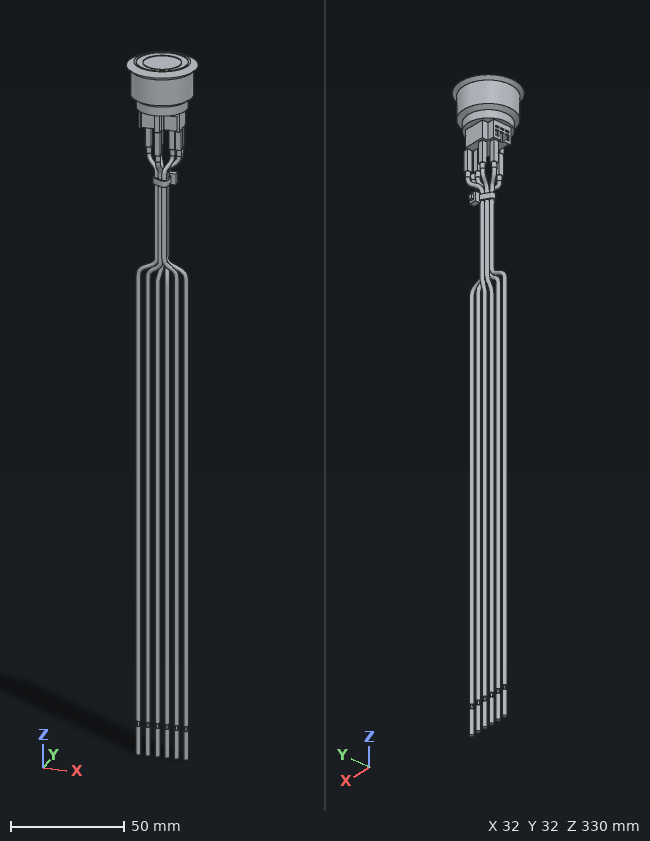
import cadquery as cq


TOTAL_HEIGHT = 330.0
RIM_DIAMETER = 32.0
RIM_CROWN_DIAMETER = 25.0
RIM_EDGE_Z = 328.5
BODY_DIAMETER = 28.0
BODY_TOP_Z = 326.8
BODY_BOTTOM_Z = 314.5
COLLAR_DIAMETER = 23.0
COLLAR_TOP_Z = 313.0
COLLAR_BOTTOM_Z = 308.5
BUTTON_DIAMETER = 23.0
BUTTON_RECESS = 0.3
LENS_DIAMETER = 17.2
LENS_RECESS = 0.5

BLOCK_BOTTOM_Z = 299.5
BLOCK_HEIGHT = COLLAR_BOTTOM_Z - BLOCK_BOTTOM_Z
BLOCK_LENGTH = 18.8
BLOCK_WIDTH = 10.2
KEY_SPAN = 17.0
FRONT_KEY_WIDTH = 2.3
REAR_KEY_WIDTH = 11.2
PANEL_WIDTH = 6.3
PANEL_HEIGHT = 7.3
PANEL_OFFSET = 5.3
PANEL_DEPTH = 1.0
WINDOW_WIDTH = 1.5
WINDOW_HEIGHT = 3.0
WINDOW_OFFSET = 3.0
WINDOW_DEPTH = 1.0
WINDOW_FLOOR = 1.5
SLIT_HEIGHT = 0.5
SLIT_FLOOR = 6.0

WIRE_DIAMETER = 2.2
SLEEVE_DIAMETER = 2.4
TERMINAL_SIZE = 2.5
TERMINAL_HEIGHT = 11.2
SLEEVE_BOTTOM_Z = 285.2
BUNDLE_TOP_Z = 276.5
WIRE_PITCH_IN_BUNDLE = 2.3
BUNDLE_X = -0.45
FAN_GAP = 2.18
FAN_PITCH = WIRE_DIAMETER + FAN_GAP
CORE_DIAMETER = 1.1
TIP_LENGTH = 13.5
CORE_GAP = 2.3

TIE_THICKNESS = 0.5
TIE_BOTTOM_Z = 272.0
TIE_HEIGHT = 3.0
TIE_HEAD_SIZE = (4.0, 3.0, 5.3)
TIE_HEAD_CENTER = (3.3, 5.0, 273.3)
TIE_TAIL_SIZE = (1.5, 3.0, 2.5)
TIE_TAIL_CENTER = (3.3, 6.3, 273.3)

row_step = WIRE_PITCH_IN_BUNDLE * 3 ** 0.5 / 2
left_x = BUNDLE_X - row_step
right_x = BUNDLE_X + row_step
half_pitch = WIRE_PITCH_IN_BUNDLE / 2
WIRES = [
    ((-7.0, 2.5), (left_x, 0), 237.0, 227.5),
    ((0, -6.5), (BUNDLE_X, -half_pitch), 236.0, 226.8),
    ((-3.0, 6.0), (BUNDLE_X, half_pitch), 234.5, 223.5),
    ((7.0, 6.0), (right_x, WIRE_PITCH_IN_BUNDLE), 234.5, 224.5),
    ((4.0, 2.5), (right_x, -WIRE_PITCH_IN_BUNDLE), 238.3, 227.8),
    ((7.0, 2.5), (right_x, 0), 238.3, 227.8),
]


def rod(x, y, bottom_z, top_z, diameter):
    return cq.Workplane("XY", origin=(x, y, bottom_z)).circle(diameter / 2).extrude(top_z - bottom_z)


def block(size, center):
    return cq.Workplane("XY").box(*size).translate(center)


def bend(start, end):
    """Wire section from start down to end, vertical at both ends."""
    down = cq.Vector(0, 0, -1)
    path = cq.Edge.makeSpline([cq.Vector(*start), cq.Vector(*end)], [down, down])
    return (
        cq.Workplane("XY", origin=start)
        .circle(WIRE_DIAMETER / 2)
        .sweep(cq.Workplane("XY").add(cq.Wire.assembleEdges([path])))
    )


def make_head():
    profile = [
        (0, COLLAR_BOTTOM_Z),
        (COLLAR_DIAMETER / 2, COLLAR_BOTTOM_Z),
        (COLLAR_DIAMETER / 2, COLLAR_TOP_Z),
        (BODY_DIAMETER / 2, BODY_BOTTOM_Z),
        (BODY_DIAMETER / 2, BODY_TOP_Z),
        (RIM_DIAMETER / 2, RIM_EDGE_Z),
        (RIM_CROWN_DIAMETER / 2, TOTAL_HEIGHT),
        (0, TOTAL_HEIGHT),
    ]
    head = cq.Workplane("XZ").polyline(profile).close().revolve(360, (0, 0), (0, 1))
    top = cq.Workplane("XY", origin=(0, 0, TOTAL_HEIGHT))
    button = top.circle(BUTTON_DIAMETER / 2).extrude(-BUTTON_RECESS)
    lens = top.circle(LENS_DIAMETER / 2).extrude(-LENS_RECESS)
    return head.cut(button).cut(lens)


def make_switch_block():
    mid_z = BLOCK_BOTTOM_Z + BLOCK_HEIGHT / 2
    key_length = KEY_SPAN / 2
    body = block((BLOCK_LENGTH, BLOCK_WIDTH, BLOCK_HEIGHT), (0, 0, mid_z))
    body = body.union(block((FRONT_KEY_WIDTH, key_length, BLOCK_HEIGHT), (0, -key_length / 2, mid_z)))
    body = body.union(block((REAR_KEY_WIDTH, key_length, BLOCK_HEIGHT), (0, key_length / 2, mid_z)))
    panel_z = BLOCK_BOTTOM_Z + PANEL_HEIGHT / 2
    for x in (-PANEL_OFFSET, PANEL_OFFSET):
        panel = block((PANEL_WIDTH, 2 * PANEL_DEPTH, PANEL_HEIGHT), (x, -BLOCK_WIDTH / 2, panel_z))
        body = body.cut(panel)
    side_x = -BLOCK_LENGTH / 2
    window_z = BLOCK_BOTTOM_Z + WINDOW_FLOOR + WINDOW_HEIGHT / 2
    slit_z = BLOCK_BOTTOM_Z + SLIT_FLOOR + SLIT_HEIGHT / 2
    for y in (-WINDOW_OFFSET, 0, WINDOW_OFFSET):
        body = body.cut(block((2 * WINDOW_DEPTH, WINDOW_WIDTH, WINDOW_HEIGHT), (side_x, y, window_z)))
        body = body.cut(block((2 * WINDOW_DEPTH, WINDOW_WIDTH, SLIT_HEIGHT), (side_x, y, slit_z)))
    notch_z = BLOCK_BOTTOM_Z + WINDOW_FLOOR / 2
    body = body.cut(block((2 * WINDOW_DEPTH, WINDOW_WIDTH, WINDOW_FLOOR), (side_x, 0, notch_z)))
    return body


def make_wire(terminal, packed, fan_x, fan_top_z, fan_bottom_z):
    wire_end = TIP_LENGTH + CORE_GAP
    terminal_z = BLOCK_BOTTOM_Z - TERMINAL_HEIGHT / 2
    wire = block((TERMINAL_SIZE, TERMINAL_SIZE, TERMINAL_HEIGHT), (*terminal, terminal_z))
    wire = wire.union(rod(*terminal, SLEEVE_BOTTOM_Z, BLOCK_BOTTOM_Z, SLEEVE_DIAMETER))
    wire = wire.union(bend((*terminal, SLEEVE_BOTTOM_Z), (*packed, BUNDLE_TOP_Z)))
    wire = wire.union(rod(*packed, fan_top_z, BUNDLE_TOP_Z, WIRE_DIAMETER))
    wire = wire.union(bend((*packed, fan_top_z), (fan_x, 0, fan_bottom_z)))
    wire = wire.union(rod(fan_x, 0, wire_end, fan_bottom_z, WIRE_DIAMETER))
    wire = wire.union(rod(fan_x, 0, TIP_LENGTH, wire_end, CORE_DIAMETER))
    return wire.union(rod(fan_x, 0, 0, TIP_LENGTH, WIRE_DIAMETER))


def make_cable_tie():
    corner_wires = [(left_x, 0), (right_x, WIRE_PITCH_IN_BUNDLE), (right_x, -WIRE_PITCH_IN_BUNDLE)]
    tie = (
        cq.Workplane("XY", origin=(0, 0, TIE_BOTTOM_Z))
        .polyline(corner_wires)
        .close()
        .offset2D(WIRE_DIAMETER / 2 + TIE_THICKNESS)
        .extrude(TIE_HEIGHT)
    )
    tie = tie.union(block(TIE_HEAD_SIZE, TIE_HEAD_CENTER))
    return tie.union(block(TIE_TAIL_SIZE, TIE_TAIL_CENTER))


result = make_head().union(make_switch_block()).union(make_cable_tie())
for index, (terminal, packed, fan_top_z, fan_bottom_z) in enumerate(WIRES):
    fan_x = (index - (len(WIRES) - 1) / 2) * FAN_PITCH
    result = result.union(make_wire(terminal, packed, fan_x, fan_top_z, fan_bottom_z))